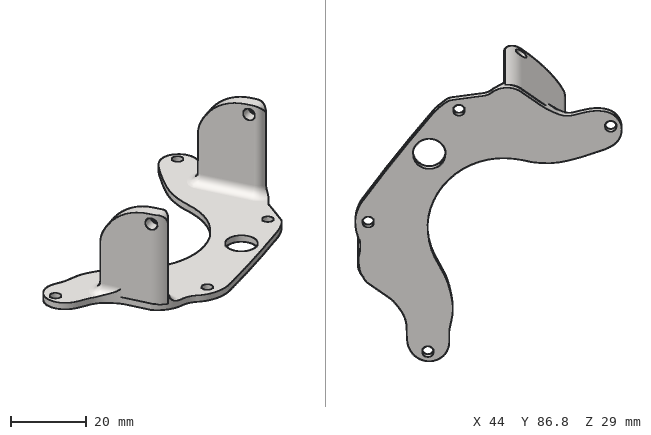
import cadquery as cq
import math

PLATE_THICKNESS = 2.0
THROAT_RADIUS = 20.0
PLATE_RIGHT = 34.73
OVERALL_HEIGHT = 29.01

SCREW_HOLE_DIAMETER = 3.05
CABLE_HOLE_DIAMETER = 8.6
ARM_HOLE = (-5.25, 40.3)
CORNER_HOLE = (29.6, 20.0)
CABLE_HOLE = (28.4, 5.3)

TAB_INNER_FACE = 30.45
TAB_THICKNESS = 3.7
TAB_OUTER_FACE = TAB_INNER_FACE + TAB_THICKNESS
TAB_MIDDLE = TAB_INNER_FACE + TAB_THICKNESS / 2
TAB_LEFT = 4.3
TAB_RIGHT = 23.65
TAB_NOSE_LENGTH = 1.35
NOSE_LEDGE = 0.12
HEEL_INNER_START = 21.0
HEEL_INNER_BOW = (22.95, 31.0)
HEEL_TIP_Y = 32.55
HEEL_OUTER_START = 19.6
HEEL_OUTER_BOW = (22.2, 33.55)
TAB_BACK_RADIUS = 14.2
TAB_CORNER_RADIUS = 2.5
TAB_HOLE_DIAMETER = 3.38
TAB_HOLE = (19.6, 26.05)
FOOT_FILLET = 2.9

BLANK_SIZE = 120.0

TAB_OVERHANG = 0.08
PLATE_SIDE = TAB_OUTER_FACE - TAB_OVERHANG
PLATE_SIDE_START = 19.6
PLATE_SIDE_END = 13.0

RIGHT_EDGE_TOP = (34.55, 15.0)
RIGHT_EDGE_MIDDLE = (PLATE_RIGHT, -2.5)
RIGHT_EDGE_BOTTOM = (34.4, -16.0)
THROAT_END_X = 9.5
THROAT_END_Y = math.sqrt(THROAT_RADIUS**2 - THROAT_END_X**2)

UPPER_SHOULDER = [(34.0, 18.7), (32.9, 21.2)]
UPPER_WAIST_START = (27.2, 26.9)
UPPER_WAIST = [
    ((26.2, 28.1), (25.6, 29.7)),
    ((23.5, 32.65), (PLATE_SIDE_START, PLATE_SIDE)),
]
UPPER_ARM = [
    (9.9, 34.4),
    (6.1, 35.6),
    (3.4, 38.5),
    (0.6, 41.5),
    (-3.9, 43.38),
    (-7.9, 41.6),
    (-9.26, 38.3),
    (-7.3, 33.0),
    (-3.0, 26.8),
    (2.0, 21.65),
    (5.6, 19.45),
    (THROAT_END_X, THROAT_END_Y),
]
LOWER_ARM = [
    (3.4, -20.7),
    (-0.7, -23.9),
    (-4.2, -28.0),
    (-6.6, -32.7),
    (-8.6, -35.4),
    (-9.26, -38.6),
    (-7.6, -42.0),
    (-3.9, -43.38),
    (0.3, -41.8),
    (2.7, -39.0),
    (6.3, -35.7),
    (9.9, -34.4),
    (PLATE_SIDE_END, -PLATE_SIDE),
]
LOWER_WAIST = [
    ((23.4, -32.15), (25.9, -28.9)),
    ((27.0, -26.9), (28.6, -25.4)),
    ((32.6, -21.7), RIGHT_EDGE_BOTTOM),
]

UPWARD = (0, 1)
RIGHTWARD = (1, 0)
LEFTWARD = (-1, 0)
UPPER_WAIST_DIRECTION = (
    UPPER_WAIST_START[0] - UPPER_SHOULDER[-1][0],
    UPPER_WAIST_START[1] - UPPER_SHOULDER[-1][1],
)
INTO_THROAT = (THROAT_END_Y, -THROAT_END_X)
OUT_OF_THROAT = (-THROAT_END_Y, -THROAT_END_X)


def smooth_to(sketch, points, start_direction, end_direction):
    return sketch.spline(points, tangents=[start_direction, end_direction], includeCurrent=True)


def add_arcs(sketch, arcs):
    for middle, end in arcs:
        sketch = sketch.threePointArc(middle, end)
    return sketch


def outline_prism(height):
    sketch = cq.Workplane("XY").moveTo(*RIGHT_EDGE_TOP)
    sketch = smooth_to(sketch, UPPER_SHOULDER, UPWARD, UPPER_WAIST_DIRECTION)
    sketch = sketch.lineTo(*UPPER_WAIST_START)
    sketch = add_arcs(sketch, UPPER_WAIST)
    sketch = sketch.lineTo(PLATE_SIDE_END, PLATE_SIDE)
    sketch = smooth_to(sketch, UPPER_ARM, LEFTWARD, INTO_THROAT)
    sketch = sketch.threePointArc((THROAT_RADIUS, 0), (THROAT_END_X, -THROAT_END_Y))
    sketch = smooth_to(sketch, LOWER_ARM, OUT_OF_THROAT, RIGHTWARD)
    sketch = sketch.lineTo(PLATE_SIDE_START, -PLATE_SIDE)
    sketch = add_arcs(sketch, LOWER_WAIST)
    sketch = sketch.threePointArc(RIGHT_EDGE_MIDDLE, RIGHT_EDGE_TOP)
    return sketch.close().extrude(height)


def tab_plan(heel_outline):
    nose_start = TAB_LEFT + TAB_NOSE_LENGTH
    sketch = cq.Workplane("XY").workplane(offset=PLATE_THICKNESS).moveTo(nose_start, TAB_OUTER_FACE)
    sketch = sketch.ellipseArc(TAB_NOSE_LENGTH, TAB_THICKNESS / 2, 90, 270, sense=1)
    sketch = sketch.lineTo(HEEL_INNER_START, TAB_INNER_FACE)
    sketch = sketch.threePointArc(HEEL_INNER_BOW, (TAB_RIGHT, TAB_MIDDLE))
    return heel_outline(sketch).close().extrude(OVERALL_HEIGHT - PLATE_THICKNESS)


def square_heel(sketch):
    return sketch.lineTo(TAB_RIGHT, TAB_OUTER_FACE)


def bowed_heel(sketch):
    sketch = sketch.lineTo(TAB_RIGHT, HEEL_TIP_Y)
    return sketch.threePointArc(HEEL_OUTER_BOW, (HEEL_OUTER_START, TAB_OUTER_FACE))


def tab_profile():
    clear_left = TAB_LEFT - 1
    clear_right = TAB_RIGHT + 1
    back_x = TAB_LEFT + NOSE_LEDGE
    back_z = OVERALL_HEIGHT - TAB_BACK_RADIUS
    top_end = TAB_RIGHT - TAB_CORNER_RADIUS
    corner_z = OVERALL_HEIGHT - TAB_CORNER_RADIUS
    return (
        cq.Workplane("XZ")
        .moveTo(clear_left, 0)
        .lineTo(clear_left, back_z)
        .lineTo(back_x, back_z)
        .radiusArc((back_x + TAB_BACK_RADIUS, OVERALL_HEIGHT), TAB_BACK_RADIUS)
        .lineTo(top_end, OVERALL_HEIGHT)
        .radiusArc((TAB_RIGHT, corner_z), TAB_CORNER_RADIUS)
        .lineTo(clear_right, corner_z)
        .lineTo(clear_right, 0)
        .close()
        .extrude(-2 * TAB_OUTER_FACE)
    )


def upright_tabs(heel_outline):
    tab = tab_plan(heel_outline).intersect(tab_profile())
    return tab.union(tab.mirror("XZ"))


def footed_blank(tabs):
    blank = cq.Workplane("XY").box(BLANK_SIZE, BLANK_SIZE, PLATE_THICKNESS, centered=(True, True, False))
    reach = TAB_OUTER_FACE + FOOT_FILLET
    junctions = cq.selectors.BoxSelector(
        (-reach, -reach, PLATE_THICKNESS - FOOT_FILLET / 2),
        (reach, reach, PLATE_THICKNESS + FOOT_FILLET / 2),
    )
    return blank.union(tabs).edges(junctions).fillet(FOOT_FILLET)


def plate_holes():
    screws = [(x, side * y) for x, y in (ARM_HOLE, CORNER_HOLE) for side in (1, -1)]
    cutters = cq.Workplane("XY").pushPoints(screws).circle(SCREW_HOLE_DIAMETER / 2).extrude(PLATE_THICKNESS)
    cable = cq.Workplane("XY").center(*CABLE_HOLE).circle(CABLE_HOLE_DIAMETER / 2).extrude(PLATE_THICKNESS)
    return cutters.union(cable)


def tab_holes():
    return (
        cq.Workplane("XZ")
        .center(*TAB_HOLE)
        .circle(TAB_HOLE_DIAMETER / 2)
        .extrude(2 * TAB_OUTER_FACE, both=True)
    )


plate = footed_blank(upright_tabs(square_heel)).intersect(outline_prism(OVERALL_HEIGHT))
result = plate.union(upright_tabs(bowed_heel)).cut(plate_holes()).cut(tab_holes())